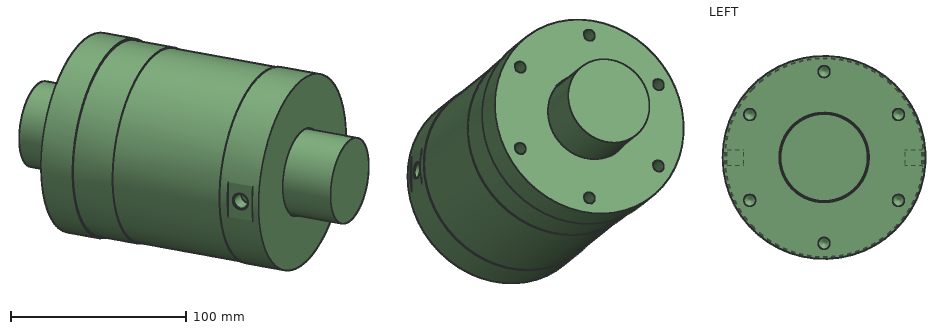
import cadquery as cq
import math

overall_length = 198.0
shaft_overhang = 30.0
flange_length = 20.0
front_ring_length = 25.0
rear_ring_length = 25.0
housing_length = overall_length - 2 * shaft_overhang
housing_start = -housing_length / 2
flange_end = housing_start + flange_length
front_ring_end = flange_end + front_ring_length
housing_end = housing_length / 2
rear_ring_start = housing_end - rear_ring_length

flange_diameter = 116.0
ring_diameter = 114.0
barrel_diameter = 113.0
shaft_diameter = 49.9
bore_clearance = 0.5
bore_diameter = shaft_diameter + 2 * bore_clearance

bolt_count = 6
bolt_circle_diameter = 98.0
bolt_hole_diameter = 6.7
bolt_hole_depth = 15.0
drill_tip_angle = 118.0

pad_length = 15.6
pad_width = 21.2
pad_edge_offset = 4.2
pad_center = housing_end - pad_edge_offset - pad_length / 2
pad_distance = math.sqrt((ring_diameter / 2) ** 2 - (pad_width / 2) ** 2)
port_diameter = 8.7
port_chamfer = 0.5
port_depth = 9.9


def cylinder_along_x(start, end, diameter):
    return cq.Workplane("YZ", origin=(start, 0, 0)).circle(diameter / 2).extrude(end - start)


def bolt_hole_cutter(angle):
    """Drilled hole with a conical bottom, entering the flange face."""
    radius = bolt_hole_diameter / 2
    tip_length = radius / math.tan(math.radians(drill_tip_angle / 2))
    cutter = (
        cq.Workplane("XY")
        .polyline([(0, 0), (bolt_hole_depth, 0), (bolt_hole_depth - tip_length, radius), (0, radius)])
        .close()
        .revolve(360, (0, 0, 0), (1, 0, 0))
    )
    return (
        cutter.translate((housing_start, 0, bolt_circle_diameter / 2))
        .rotate((0, 0, 0), (1, 0, 0), angle)
    )


def port_cutter():
    """Flat pad and chamfered blind port on the -Y side."""
    pad_depth = ring_diameter / 2 - pad_distance
    plane = cq.Workplane("XZ", origin=(pad_center, -pad_distance, 0))
    pad = plane.rect(pad_length, pad_width).extrude(2 * pad_depth)
    port = plane.circle(port_diameter / 2).extrude(-port_depth)
    countersink = (
        plane.circle(port_diameter / 2 + port_chamfer)
        .workplane(offset=-port_chamfer)
        .circle(port_diameter / 2)
        .loft()
    )
    return pad.union(port).union(countersink)


def make_housing():
    flange = cylinder_along_x(housing_start, flange_end, flange_diameter)
    front_ring = cylinder_along_x(flange_end, front_ring_end, ring_diameter)
    barrel = cylinder_along_x(front_ring_end, rear_ring_start, barrel_diameter)
    rear_ring = cylinder_along_x(rear_ring_start, housing_end, ring_diameter)
    body = flange.union(front_ring).union(barrel).union(rear_ring)
    body = body.cut(cylinder_along_x(housing_start, housing_end, bore_diameter))
    for index in range(bolt_count):
        body = body.cut(bolt_hole_cutter(index * 360 / bolt_count))
    near_port = port_cutter()
    return body.cut(near_port).cut(near_port.mirror("XZ"))


def make_shaft():
    return cylinder_along_x(-overall_length / 2, overall_length / 2, shaft_diameter)


housing = make_housing()
shaft = make_shaft()
result = cq.Compound.makeCompound([housing.val(), shaft.val()])